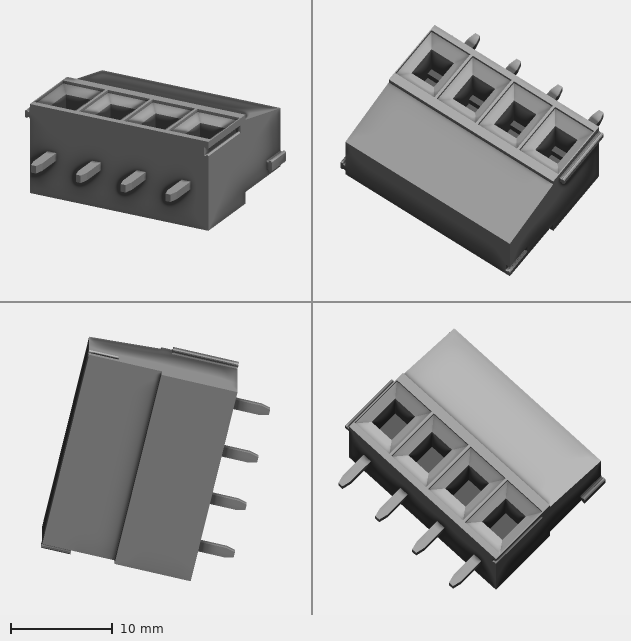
import cadquery as cq


pole_count = 4
pole_pitch = 5.0
overall_width = 21.07
housing_width = 19.91
housing_depth = 14.98
housing_height = 9.5
front_depth = 7.7
shoulder_drop = 0.55
rear_roof_drop = 2.05
rear_floor_height = 1.25

pin_width = 1.0
pin_thickness = 0.8
pin_length = 3.81
pin_taper_length = 0.9
pin_tip_width = 0.55
pin_bottom = 4.07

funnel_front = 0.67
mouth_width = 4.72
mouth_length = 6.05
rim_depth = 0.32
throat_front = 2.06
throat_width = 2.72
throat_length = 3.35
throat_top_depth = 0.8
shaft_floor_height = pin_bottom
ledge_length = 0.63
ledge_rise = pin_thickness

head_chamfer = 0.1
upper_rail_length = 6.62
upper_rail_drop = 1.14
upper_rail_center = housing_height - upper_rail_drop
upper_rail_reach = 0.55
upper_head_height = 0.8
upper_neck_height = 0.55
upper_groove_depth = 0.46
upper_groove_head_height = 0.86
lower_rail_length = 2.97
lower_rail_center = 2.42
lower_rail_reach = overall_width - housing_width - upper_rail_reach
lower_head_height = 1.15
lower_neck_height = 0.78
lower_groove_depth = 0.55
neck_flare = 0.13
neck_share = 0.4
head_share = 0.55


def box(x, y, z, width, depth, height):
    return cq.Workplane("XY").box(width, depth, height, centered=False).translate((x, y, z))


def extrude_along_y(points, y_start, length):
    """Extrude an outline of (x, z) points towards +Y."""
    return cq.Workplane("XZ", origin=(0, y_start, 0)).polyline(points).close().extrude(-length)


def make_housing():
    side_outline = [
        (0, 0),
        (front_depth, 0),
        (front_depth, rear_floor_height),
        (housing_depth, rear_floor_height),
        (housing_depth, housing_height - rear_roof_drop),
        (front_depth, housing_height - shoulder_drop),
        (front_depth, housing_height),
        (0, housing_height),
    ]
    return cq.Workplane("YZ").polyline(side_outline).close().extrude(housing_width)


def make_funnel(x):
    """Rimmed funnel, throat and stepped shaft centred on x."""
    mouth_x = x - mouth_width / 2
    throat_x = x - throat_width / 2
    rim_bottom = housing_height - rim_depth
    rim = box(mouth_x, funnel_front, rim_bottom, mouth_width, mouth_length, rim_depth)
    mouth_y = funnel_front + mouth_length / 2
    throat_y = throat_front + throat_length / 2
    slope = (
        cq.Workplane("XY", origin=(x, mouth_y, rim_bottom))
        .rect(mouth_width, mouth_length)
        .workplane(offset=rim_depth - throat_top_depth)
        .center(0, throat_y - mouth_y)
        .rect(throat_width, throat_length)
        .loft(ruled=True)
    )
    shaft_depth = housing_height - throat_top_depth - shaft_floor_height
    shaft = box(throat_x, throat_front, shaft_floor_height, throat_width, throat_length, shaft_depth)
    ledge = box(throat_x, throat_front, shaft_floor_height, throat_width, ledge_length, ledge_rise)
    return rim.union(slope).union(shaft.cut(ledge))


def make_pin(x):
    """Flat pin with a tapered tip, centred on x."""
    half_width = pin_width / 2
    half_tip = pin_tip_width / 2
    taper_start = pin_taper_length - pin_length
    outline = [
        (x - half_width, 0),
        (x + half_width, 0),
        (x + half_width, taper_start),
        (x + half_tip, -pin_length),
        (x - half_tip, -pin_length),
        (x - half_width, taper_start),
    ]
    return cq.Workplane("XY", origin=(0, 0, pin_bottom)).polyline(outline).close().extrude(pin_thickness)


def t_outline(face_x, reach, center_z, neck_height, head_height, chamfer):
    """T-shaped outline from a flared root at face_x to a head at face_x + reach.

    A negative reach points the head to -X.
    """
    side = 1 if reach > 0 else -1
    half_neck = neck_height / 2
    half_head = head_height / 2
    upper_half = [
        (face_x, half_neck + neck_flare),
        (face_x + side * neck_flare, half_neck),
        (face_x + neck_share * reach, half_neck),
        (face_x + head_share * reach, half_head),
        (face_x + reach - side * chamfer, half_head),
    ]
    if chamfer:
        upper_half.append((face_x + reach, half_head - chamfer))
    lower_half = [(x, -z) for x, z in reversed(upper_half)]
    return [(x, center_z + z) for x, z in upper_half + lower_half]


result = make_housing()

first_pole_x = (housing_width - (pole_count - 1) * pole_pitch) / 2
for pole in range(pole_count):
    pole_x = first_pole_x + pole * pole_pitch
    result = result.cut(make_funnel(pole_x)).union(make_pin(pole_x))

lower_rail_start = housing_depth - lower_rail_length
upper_rail = t_outline(
    0, -upper_rail_reach, upper_rail_center, upper_neck_height, upper_head_height, head_chamfer
)
lower_rail = t_outline(
    housing_width, lower_rail_reach, lower_rail_center, lower_neck_height, lower_head_height, head_chamfer
)
result = result.union(extrude_along_y(upper_rail, 0, upper_rail_length))
result = result.union(extrude_along_y(lower_rail, lower_rail_start, lower_rail_length))

upper_groove = t_outline(
    housing_width, -upper_groove_depth, upper_rail_center, upper_neck_height, upper_groove_head_height, 0
)
lower_groove = t_outline(0, lower_groove_depth, lower_rail_center, lower_neck_height, lower_head_height, 0)
result = result.cut(extrude_along_y(upper_groove, 0, upper_rail_length))
result = result.cut(extrude_along_y(lower_groove, lower_rail_start, lower_rail_length))